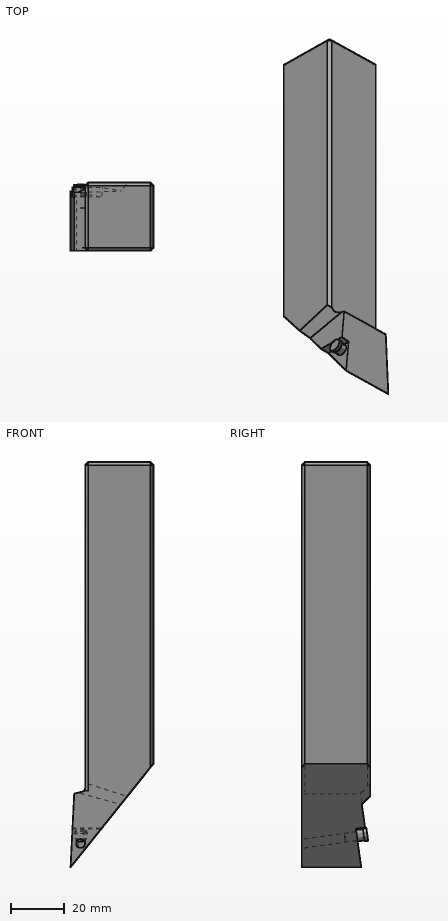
import cadquery as cq
import math

total_width = 30.8
total_length = 150.5
shank_size = 25.5
shank_chamfer = 1.2
shank_left = total_width - shank_size

diagonal_rise = 38.5
shoulder_x = 1.4
shoulder_z = 27.4
shoulder_root_z = 28.5
root_radius = 1.2

seat_angle = 8.0
seat_tip_y = 22.1
pocket_depth = 3.5
pocket_wall_z = 14.3
relief_point = (shank_left, 22.5, 28.0)
relief_normal = (-0.32, 1.2, -1.0)

screw_x = 3.8
screw_front_z = 8.9
stem_diameter = 3.3
stem_depth = 4.5
body_diameter = 4.4
head_diameter = 5.0
head_height = 1.4
screw_height = 3.9

cutter_size = 4 * shank_size
seat_normal = (0, math.cos(math.radians(seat_angle)), math.sin(math.radians(seat_angle)))


def half_space(point, normal, x_direction=None):
    """Large block on the side of a plane that its normal points to."""
    plane = cq.Plane(origin=point, xDir=x_direction, normal=normal)
    return cq.Workplane(plane).rect(2 * cutter_size, 2 * cutter_size).extrude(cutter_size)


def extrude_outline(points):
    """Extrude an XZ outline from the front face through the shank depth."""
    return cq.Workplane("XZ").polyline(points).close().extrude(-shank_size)


def make_shank():
    bar = (
        cq.Workplane("XY")
        .box(shank_size, shank_size, total_length, centered=False)
        .translate((shank_left, 0, 0))
        .edges("|Z or >Z")
        .chamfer(shank_chamfer)
    )
    below_diagonal = extrude_outline([(0, 0), (total_width, diagonal_rise), (total_width, 0)])
    below_shoulder = cq.Workplane("XY").box(
        shank_left + shank_chamfer, shank_size, shoulder_root_z, centered=False
    )
    return bar.cut(below_diagonal).cut(below_shoulder)


def make_head():
    overlap_x = shank_left + shank_chamfer
    diagonal_slope = diagonal_rise / total_width
    return extrude_outline([
        (0, 0),
        (overlap_x, overlap_x * diagonal_slope),
        (overlap_x, shoulder_root_z),
        (shank_left, shoulder_root_z),
        (shoulder_x, shoulder_z),
    ])


def make_root_fillet():
    """Concave blend between the shoulder and the left face of the shank."""
    shoulder_slope = math.atan2(shoulder_root_z - shoulder_z, shank_left - shoulder_x)
    tangent_length = root_radius / math.tan((math.pi / 2 + shoulder_slope) / 2)
    shank_end = (shank_left, shoulder_root_z + tangent_length)
    shoulder_end = (
        shank_left - tangent_length * math.cos(shoulder_slope),
        shoulder_root_z - tangent_length * math.sin(shoulder_slope),
    )
    blend_depth = shank_size - 2 * shank_chamfer
    return (
        cq.Workplane("XZ", origin=(0, shank_chamfer, 0))
        .moveTo(shank_left, shoulder_root_z)
        .lineTo(*shank_end)
        .radiusArc(shoulder_end, root_radius)
        .close()
        .extrude(-blend_depth)
    )


def make_seat_cutter():
    """Space above the sloped head, up to the relief face of the shank."""
    floor_offset = pocket_depth / math.cos(math.radians(seat_angle))
    head_top = half_space((0, seat_tip_y + floor_offset, 0), seat_normal, (1, 0, 0))
    return head_top.intersect(half_space(relief_point, relief_normal))


def make_pocket_cutter():
    above_floor = half_space((0, seat_tip_y, 0), seat_normal, (1, 0, 0))
    wall_foot = (0, seat_tip_y - pocket_wall_z * math.tan(math.radians(seat_angle)), pocket_wall_z)
    wall_normal = (0, seat_normal[2], -seat_normal[1])
    return above_floor.intersect(half_space(wall_foot, wall_normal, (1, 0, 0)))


def screw_cylinder(diameter, start, length):
    """Cylinder on the screw axis, starting at a distance above the pocket floor."""
    slope = math.tan(math.radians(seat_angle))
    axis_y = (seat_tip_y - screw_front_z * slope) / (1 + slope ** 2)
    floor_center = (screw_x, axis_y, screw_front_z + axis_y * slope)
    plane = cq.Plane(origin=floor_center, xDir=(1, 0, 0), normal=seat_normal)
    return cq.Workplane(plane).workplane(offset=start).circle(diameter / 2).extrude(length)


def make_holder():
    holder = make_shank().union(make_head()).union(make_root_fillet())
    holder = holder.cut(make_seat_cutter()).cut(make_pocket_cutter())
    screw_hole = screw_cylinder(stem_diameter, -cutter_size, cutter_size)
    return holder.cut(screw_hole)


def make_screw():
    body_height = screw_height - head_height
    stem = screw_cylinder(stem_diameter, -stem_depth, stem_depth)
    body = screw_cylinder(body_diameter, 0, body_height)
    head = screw_cylinder(head_diameter, body_height, head_height)
    return stem.union(body).union(head)


holder = make_holder().solids()
screw = make_screw().solids()
result = cq.Compound.makeCompound([holder.val(), screw.val()])